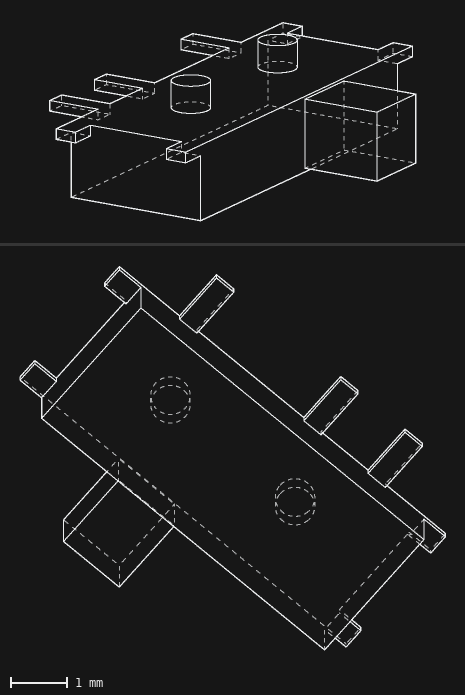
import cadquery as cq

overall_length = 7.6
body_width = 2.7
body_height = 1.4
end_tab_length = 0.5
body_length = overall_length - 2 * end_tab_length

strip_width = 0.4
strip_thickness = 0.2
terminal_length = 1.0
terminal_positions = (2.2, -0.7, -2.2)

knob_length = 1.5
knob_width = 1.3
knob_height = 1.28
knob_bottom = 0.07
knob_position = 0.85

peg_diameter = 0.7
peg_height = 0.5
peg_spacing = 2.9


def box_from_top(x_min, x_size, y_center, y_size, height):
    """Box whose top face lies flush with the top of the housing."""
    return cq.Workplane("XY").box(
        x_size, y_size, height, centered=(False, True, False)
    ).translate((x_min, y_center, body_height - height))


def make_end_tabs():
    """Strips along both long sides, sticking out past each end of the housing."""
    left = box_from_top(-body_width / 2, strip_width, 0, overall_length, strip_thickness)
    return left.union(left.mirror("YZ"))


def make_terminals():
    terminals = cq.Workplane("XY")
    for y in terminal_positions:
        terminals = terminals.add(
            box_from_top(
                -body_width / 2 - terminal_length,
                terminal_length + strip_width,
                y,
                strip_width,
                strip_thickness,
            )
        )
    return terminals.combine()


def make_knob():
    """Knob on the +X side, slightly above mid-height of the housing wall."""
    z_center = knob_bottom + knob_height / 2
    return cq.Workplane("YZ", origin=(body_width / 2, knob_position, z_center)).rect(
        knob_width, knob_height
    ).extrude(knob_length)


def make_pegs():
    return (
        cq.Workplane("XY", origin=(0, 0, body_height))
        .pushPoints([(0, -peg_spacing / 2), (0, peg_spacing / 2)])
        .circle(peg_diameter / 2)
        .extrude(peg_height)
    )


body = box_from_top(-body_width / 2, body_width, 0, body_length, body_height)
result = body.union(make_end_tabs()).union(make_terminals()).union(make_knob()).union(make_pegs())